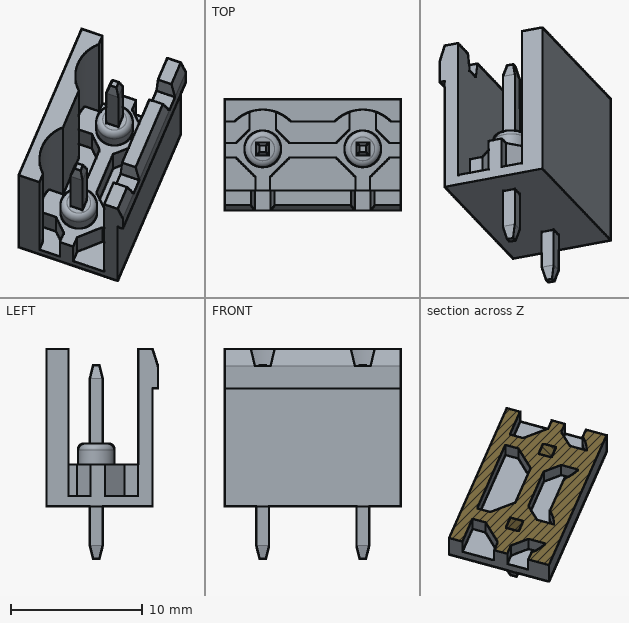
import cadquery as cq


PIN_COUNT = 2
PIN_PITCH = 7.62
PIN_XS = [(i - (PIN_COUNT - 1) / 2) * PIN_PITCH for i in range(PIN_COUNT)]

PIN_WIDTH = 1.0
PIN_TIP_WIDTH = 0.5
PIN_TAPER = 1.0
PIN_BOTTOM_Z = -4.0
PIN_TOP_Z = 10.75

LENGTH = 13.42
HEIGHT = 12.0
REAR_Y = 3.8
BODY_DEPTH = 8.08
REAR_WALL = 1.7
FRONT_WALL = 1.1
FLOOR = 0.8
FRONT_Y = REAR_Y - BODY_DEPTH
CAVITY_REAR_Y = REAR_Y - REAR_WALL
CAVITY_FRONT_Y = FRONT_Y + FRONT_WALL

LIP_REACH = 0.42
LIP_HEIGHT = 3.0
LIP_SLOPE_HEIGHT = 1.3

NOTCH_TOP_WIDTH = 1.82
NOTCH_FLOOR_WIDTH = 1.2

SCALLOP_RADIUS = 3.0

WEB_TOP_Z = 3.2
RIB_REAR_Y = 0.43
RIB_FRONT_Y = -0.65
HUB_HALF_WIDTH = 2.05
REAR_STEM_HALF_WIDTH = 1.0
FRONT_STEM_HALF_WIDTH = 0.56

COLLAR_DIAMETER = 2.8
COLLAR_HEIGHT = 1.6
COLLAR_FILLET = 0.5


def make_shell():
    """U-shaped channel with the latching lip, open at both ends."""
    lip_y = FRONT_Y - LIP_REACH
    lip_bottom_z = HEIGHT - LIP_HEIGHT
    profile = [
        (REAR_Y, 0),
        (REAR_Y, HEIGHT),
        (CAVITY_REAR_Y, HEIGHT),
        (CAVITY_REAR_Y, FLOOR),
        (CAVITY_FRONT_Y, FLOOR),
        (CAVITY_FRONT_Y, HEIGHT),
        (FRONT_Y, HEIGHT),
        (lip_y, HEIGHT - LIP_SLOPE_HEIGHT),
        (lip_y, lip_bottom_z),
        (FRONT_Y, lip_bottom_z),
        (FRONT_Y, 0),
    ]
    return cq.Workplane("YZ").polyline(profile).close().extrude(LENGTH / 2, both=True)


def make_scallop(x):
    """Cutter for the round relief in the rear wall, limited to the space behind the front wall."""
    cylinder = (
        cq.Workplane("XY", origin=(x, 0, FLOOR))
        .circle(SCALLOP_RADIUS)
        .extrude(HEIGHT - FLOOR)
    )
    cavity_side = (
        cq.Workplane("XY", origin=(x, CAVITY_FRONT_Y, FLOOR))
        .box(2 * SCALLOP_RADIUS, REAR_Y - CAVITY_FRONT_Y, HEIGHT - FLOOR, centered=(True, False, False))
    )
    return cylinder.intersect(cavity_side)


def make_notch(x):
    """Cutter for the tapered notch in the top of the front wall."""
    floor_z = HEIGHT - LIP_SLOPE_HEIGHT
    outline = [
        (x - NOTCH_TOP_WIDTH / 2, HEIGHT),
        (x - NOTCH_FLOOR_WIDTH / 2, floor_z),
        (x + NOTCH_FLOOR_WIDTH / 2, floor_z),
        (x + NOTCH_TOP_WIDTH / 2, HEIGHT),
    ]
    return (
        cq.Workplane("XZ", origin=(0, CAVITY_FRONT_Y, 0))
        .polyline(outline)
        .close()
        .extrude(FRONT_WALL + LIP_REACH)
    )


def make_rib():
    """Straight rib of the web along the whole housing."""
    return cq.Workplane("XY").box(
        LENGTH, RIB_REAR_Y - RIB_FRONT_Y, WEB_TOP_Z, centered=(True, False, False)
    ).translate((0, RIB_FRONT_Y, 0))


def make_hub(x):
    """Hub of the web under one pin: 45 degree shoulders and a stem to each wall."""
    rear_shoulder_y = RIB_REAR_Y + HUB_HALF_WIDTH - REAR_STEM_HALF_WIDTH
    front_shoulder_y = RIB_FRONT_Y - (HUB_HALF_WIDTH - FRONT_STEM_HALF_WIDTH)
    right_side = [
        (FRONT_STEM_HALF_WIDTH, CAVITY_FRONT_Y),
        (FRONT_STEM_HALF_WIDTH, front_shoulder_y),
        (HUB_HALF_WIDTH, RIB_FRONT_Y),
        (HUB_HALF_WIDTH, RIB_REAR_Y),
        (REAR_STEM_HALF_WIDTH, rear_shoulder_y),
        (REAR_STEM_HALF_WIDTH, REAR_Y),
    ]
    left_side = [(-half_width, y) for half_width, y in reversed(right_side)]
    return (
        cq.Workplane("XY", origin=(x, 0, 0))
        .polyline(right_side + left_side)
        .close()
        .extrude(WEB_TOP_Z)
    )


def make_collar(x):
    """Round collar with a rounded top edge, standing on the web."""
    return (
        cq.Workplane("XY", origin=(x, 0, WEB_TOP_Z))
        .circle(COLLAR_DIAMETER / 2)
        .extrude(COLLAR_HEIGHT)
        .faces(">Z")
        .edges()
        .fillet(COLLAR_FILLET)
    )


def make_pin_hole(x):
    """Cutter for the square hole that a pin fills, through floor, web and collar."""
    return (
        cq.Workplane("XY", origin=(x, 0, 0))
        .rect(PIN_WIDTH, PIN_WIDTH)
        .extrude(WEB_TOP_Z + COLLAR_HEIGHT)
    )


def make_housing():
    """Housing with its web, collars, scallops, notches and pin holes."""
    body = make_shell()
    for x in PIN_XS:
        body = body.cut(make_scallop(x)).cut(make_notch(x))
    body = body.union(make_rib())
    for x in PIN_XS:
        body = body.union(make_hub(x)).union(make_collar(x)).cut(make_pin_hole(x))
    return body


def make_pin(x):
    """Square pin tapered at both ends."""
    lower_z = PIN_BOTTOM_Z + PIN_TAPER
    upper_z = PIN_TOP_Z - PIN_TAPER
    shank = (
        cq.Workplane("XY", origin=(x, 0, lower_z))
        .rect(PIN_WIDTH, PIN_WIDTH)
        .extrude(upper_z - lower_z)
    )
    upper_tip = (
        cq.Workplane("XY", origin=(x, 0, upper_z))
        .rect(PIN_WIDTH, PIN_WIDTH)
        .workplane(offset=PIN_TAPER)
        .rect(PIN_TIP_WIDTH, PIN_TIP_WIDTH)
        .loft(ruled=True)
    )
    lower_tip = (
        cq.Workplane("XY", origin=(x, 0, PIN_BOTTOM_Z))
        .rect(PIN_TIP_WIDTH, PIN_TIP_WIDTH)
        .workplane(offset=PIN_TAPER)
        .rect(PIN_WIDTH, PIN_WIDTH)
        .loft(ruled=True)
    )
    return shank.union(upper_tip).union(lower_tip)


housing = make_housing()
pins = [make_pin(x) for x in PIN_XS]

result = cq.Compound.makeCompound([housing.solids().val(), *[pin.solids().val() for pin in pins]])